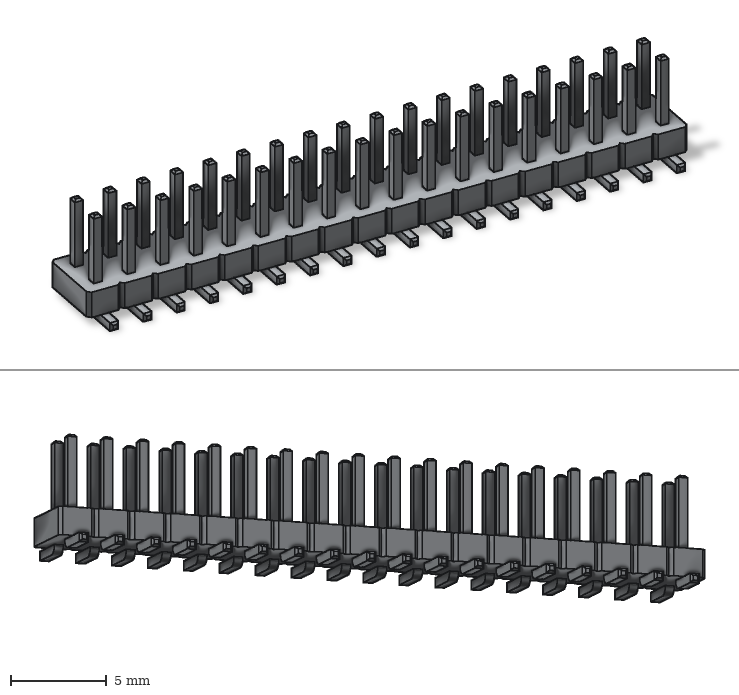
import cadquery as cq

row_length = 36.0
pins_per_row = 18
pitch = row_length / pins_per_row
row_spacing = pitch

overall_width = 6.2
overall_height = 6.0

body_width = 2 * row_spacing
body_height = 1.5
notch_depth = 0.198

wire = pitch / 4
tip_bevel = 0.125
lead_inner_x = 0.8
heel_radius = 0.45

body_bottom = wire
body_top = body_bottom + body_height
pin_height = overall_height - body_top
lead_length = overall_width / 2 - lead_inner_x


def notched_side(side):
    """Outline points along one long side (-1 or 1), by increasing Y."""
    face_x = side * body_width / 2
    notch_x = side * (body_width / 2 - notch_depth)
    points = []
    for cell in range(pins_per_row):
        cell_start = cell * pitch - row_length / 2
        points += [
            (notch_x, cell_start),
            (face_x, cell_start + notch_depth),
            (face_x, cell_start + pitch - notch_depth),
        ]
    points.append((notch_x, row_length / 2))
    return points


def make_body():
    """Insulating strip with a row of notches along both long sides."""
    outline = notched_side(1) + notched_side(-1)[::-1]
    base = cq.Workplane("XY").workplane(offset=body_bottom)
    return base.polyline(outline).close().extrude(body_height)


def make_pin():
    """Upright pin with a bevelled tip, standing on the origin."""
    pin = cq.Workplane("XY").rect(wire, wire).extrude(pin_height)
    return pin.faces(">Z").chamfer(tip_bevel)


def make_lead():
    """Flat lead pointing toward +X, resting on the plane Z = 0."""
    lead = cq.Workplane("XY").box(lead_length, wire, wire, centered=(False, True, False))
    lead = lead.faces(">X").chamfer(tip_bevel)
    lead = lead.faces("<X").edges("<Z").fillet(heel_radius)
    return lead.translate((lead_inner_x, 0, 0))


pin = make_pin()
right_lead = make_lead()
left_lead = right_lead.mirror("YZ")

body = make_body()
conductors = []
for index in range(pins_per_row):
    y = (index + 0.5) * pitch - row_length / 2
    for x in (-row_spacing / 2, row_spacing / 2):
        conductors.append(pin.translate((x, y, body_top)).val())
    for lead in (left_lead, right_lead):
        conductors.append(lead.translate((0, y, 0)).val())

result = cq.Workplane(body.val().fuse(*conductors)).solids()